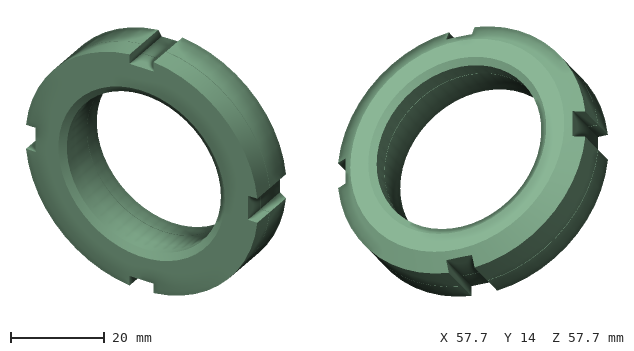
import cadquery as cq
import math

OVERALL_WIDTH = 57.7
THICKNESS = 14.0
BORE_RADIUS = 19.2

NOTCH_COUNT = 4
NOTCH_WIDTH = 6.0
NOTCH_FLOOR_RADIUS = 26.5

RIM_RADIUS = math.hypot(OVERALL_WIDTH / 2, NOTCH_WIDTH / 2)

CONE_SLOPE = math.tan(math.radians(30))
BEVEL_FACE_RADIUS = 25.0
BEVEL_DEPTH = (RIM_RADIUS - BEVEL_FACE_RADIUS) * CONE_SLOPE
BORE_MOUTH_RADIUS = 20.75
BORE_CHAMFER_DEPTH = (BORE_MOUTH_RADIUS - BORE_RADIUS) * CONE_SLOPE

FLANGE_THICKNESS = 5.0
SLEEVE_LENGTH = 4.0
JOINT_GAP = 0.1
SLEEVE_RADIUS = (BORE_RADIUS + NOTCH_FLOOR_RADIUS) / 2

FRONT_Y = -THICKNESS / 2
BACK_Y = THICKNESS / 2
FLANGE_BACK_Y = FRONT_Y + FLANGE_THICKNESS
SLEEVE_END_Y = FLANGE_BACK_Y + SLEEVE_LENGTH


def revolve_about_y(profile):
    """Turn a closed (radius, y) profile into a ring around the Y axis."""
    return cq.Workplane("XY").polyline(profile).close().revolve(360, (0, 0), (0, 1))


def cut_notches(ring):
    """Cut the flat-floored wrench notches through the full thickness of a ring."""
    notch_depth = RIM_RADIUS - NOTCH_FLOOR_RADIUS
    cutter = (
        cq.Workplane("XY")
        .box(NOTCH_WIDTH, THICKNESS, notch_depth, centered=(True, True, False))
        .translate((0, 0, NOTCH_FLOOR_RADIUS))
    )
    for i in range(NOTCH_COUNT):
        angle = i * 360 / NOTCH_COUNT
        ring = ring.cut(cutter.rotate((0, 0, 0), (0, 1, 0), angle))
    return ring


def make_front_ring():
    """Flange with a sleeve at the back and a chamfer at the front bore mouth."""
    profile = [
        (BORE_MOUTH_RADIUS, FRONT_Y),
        (RIM_RADIUS, FRONT_Y),
        (RIM_RADIUS, FLANGE_BACK_Y),
        (SLEEVE_RADIUS, FLANGE_BACK_Y),
        (SLEEVE_RADIUS, SLEEVE_END_Y),
        (BORE_RADIUS, SLEEVE_END_Y),
        (BORE_RADIUS, FRONT_Y + BORE_CHAMFER_DEPTH),
    ]
    return cut_notches(revolve_about_y(profile))


def make_back_ring():
    """Ring with a recess for the sleeve, a bevelled rim and a chamfered bore mouth."""
    profile = [
        (SLEEVE_RADIUS, FLANGE_BACK_Y + JOINT_GAP),
        (RIM_RADIUS, FLANGE_BACK_Y + JOINT_GAP),
        (RIM_RADIUS, BACK_Y - BEVEL_DEPTH),
        (BEVEL_FACE_RADIUS, BACK_Y),
        (BORE_MOUTH_RADIUS, BACK_Y),
        (BORE_RADIUS, BACK_Y - BORE_CHAMFER_DEPTH),
        (BORE_RADIUS, SLEEVE_END_Y + JOINT_GAP),
        (SLEEVE_RADIUS, SLEEVE_END_Y + JOINT_GAP),
    ]
    return cut_notches(revolve_about_y(profile))


front_ring = make_front_ring()
back_ring = make_back_ring()

result = cq.Compound.makeCompound([front_ring.val(), back_ring.val()])